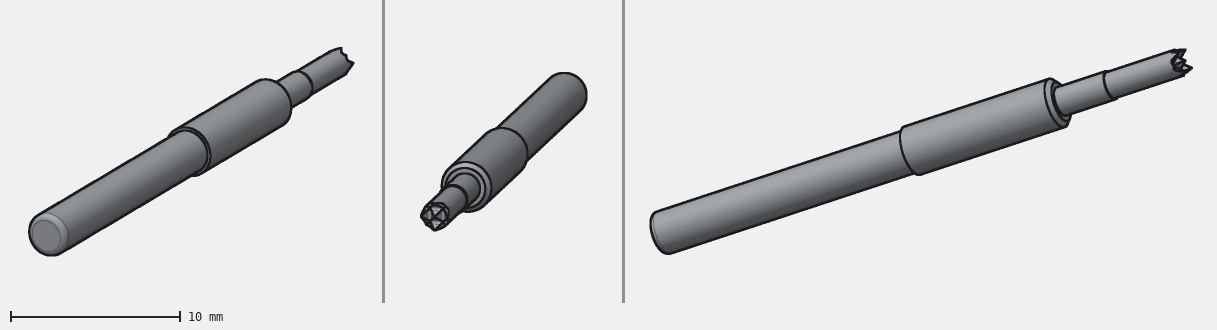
import cadquery as cq
import math

total_length = 35.3
base_y = -total_length / 2
tip_y = total_length / 2

barrel_diameter = 2.6
collar_diameter = 3.0
sleeve_diameter = 1.75
plunger_diameter = 1.62

plunger_length = 5.0
sleeve_length = 3.32
collar_length = 10.0
barrel_length = total_length - plunger_length - sleeve_length - collar_length

base_fillet = 0.35
collar_chamfer = 0.3

crown_point_pitch = plunger_diameter / 2
crown_wall_angle = 30.0
crown_floor_radius = 0.15
groove_overrun = 0.35


def cylinder_along_y(diameter, start_y, length):
    """Solid cylinder on the Y axis that grows toward +Y from start_y."""
    return cq.Workplane("XZ", origin=(0, start_y, 0)).circle(diameter / 2).extrude(-length)


def crown_groove(center_x):
    """V-groove with a rounded floor across the plunger tip, running along Z at center_x."""
    wall = math.radians(crown_wall_angle)
    half_width = crown_point_pitch / 2
    arc_center_depth = (half_width - crown_floor_radius / math.cos(wall)) / math.tan(wall)
    floor_y = -arc_center_depth - crown_floor_radius
    tangent_x = crown_floor_radius * math.cos(wall)
    tangent_y = -arc_center_depth - crown_floor_radius * math.sin(wall)
    return (
        cq.Workplane("XY", origin=(center_x, tip_y, 0))
        .moveTo(-half_width, groove_overrun)
        .lineTo(-half_width, 0)
        .lineTo(-tangent_x, tangent_y)
        .threePointArc((0, floor_y), (tangent_x, tangent_y))
        .lineTo(half_width, 0)
        .lineTo(half_width, groove_overrun)
        .close()
        .extrude(plunger_diameter, both=True)
    )


barrel = cylinder_along_y(barrel_diameter, base_y, barrel_length)
barrel = barrel.faces("<Y").edges().fillet(base_fillet)

collar_y = base_y + barrel_length
collar = cylinder_along_y(collar_diameter, collar_y, collar_length)
collar = collar.faces(">Y").edges().chamfer(collar_chamfer)

sleeve_y = collar_y + collar_length
sleeve = cylinder_along_y(sleeve_diameter, sleeve_y, sleeve_length)

plunger_y = sleeve_y + sleeve_length
plunger = cylinder_along_y(plunger_diameter, plunger_y, plunger_length)
for groove_x in (-crown_point_pitch / 2, crown_point_pitch / 2):
    groove_along_z = crown_groove(groove_x)
    groove_along_x = groove_along_z.rotate((0, 0, 0), (0, 1, 0), 90)
    plunger = plunger.cut(groove_along_z).cut(groove_along_x)

result = barrel.union(collar).union(sleeve).union(plunger)